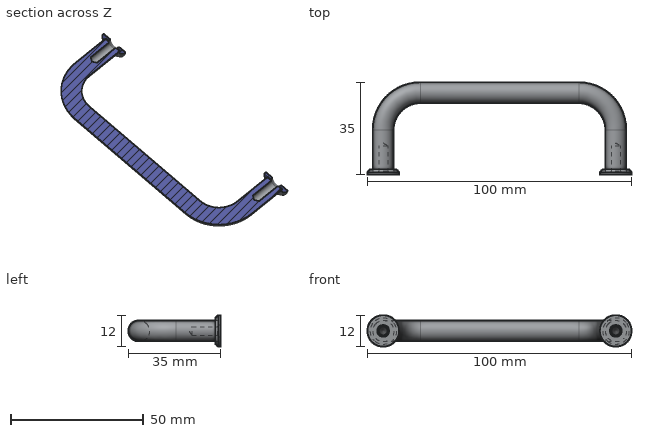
import cadquery as cq
import math

leg_spacing = 88.0
handle_height = 35.0
rod_diameter = 8.0
bend_radius = 14.0

washer_diameter = 12.0
washer_thickness = 2.0
washer_chamfer = 1.0
washer_hole_diameter = 4.5
washer_recess_depth = 1.0

screw_hole_diameter = 3.3
screw_hole_mouth_diameter = 4.1
screw_hole_depth = 10.0
drill_point_angle = 118.0

leg_x = leg_spacing / 2
grip_y = handle_height - rod_diameter / 2
leg_end_y = washer_thickness - washer_recess_depth
bend_start_y = grip_y - bend_radius
grip_end_x = leg_x - bend_radius
bend_offset = bend_radius * math.sin(math.radians(45))


def make_screw_hole(x):
    """Blind drilled hole with a 45 degree mouth chamfer and a conical bottom, along +Y."""
    radius = screw_hole_diameter / 2
    mouth_radius = screw_hole_mouth_diameter / 2
    point_length = radius / math.tan(math.radians(drill_point_angle / 2))
    half_profile = (
        cq.Workplane("XY")
        .moveTo(0, 0)
        .lineTo(mouth_radius, 0)
        .lineTo(radius, mouth_radius - radius)
        .lineTo(radius, screw_hole_depth)
        .lineTo(0, screw_hole_depth + point_length)
        .close()
    )
    return half_profile.revolve(360, (0, 0, 0), (0, 1, 0)).translate((x, leg_end_y, 0))


def make_handle():
    """Round rod bent into a U, with a screw hole in each leg end."""
    centreline = (
        cq.Workplane("XY")
        .moveTo(-leg_x, leg_end_y)
        .lineTo(-leg_x, bend_start_y)
        .threePointArc(
            (-grip_end_x - bend_offset, bend_start_y + bend_offset),
            (-grip_end_x, grip_y),
        )
        .lineTo(grip_end_x, grip_y)
        .threePointArc(
            (grip_end_x + bend_offset, bend_start_y + bend_offset),
            (leg_x, bend_start_y),
        )
        .lineTo(leg_x, leg_end_y)
    )
    section_plane = cq.Plane(origin=(-leg_x, leg_end_y, 0), xDir=(1, 0, 0), normal=(0, 1, 0))
    rod = cq.Workplane(section_plane).circle(rod_diameter / 2).sweep(centreline)
    for x in (-leg_x, leg_x):
        rod = rod.cut(make_screw_hole(x))
    return rod


def make_washer(x):
    """Chamfered ring under a leg, with a pocket on the grip side for the leg end."""
    base_plane = cq.Plane(origin=(x, 0, 0), xDir=(1, 0, 0), normal=(0, 1, 0))
    disc = cq.Workplane(base_plane).circle(washer_diameter / 2).extrude(washer_thickness)
    disc = disc.faces(">Y").chamfer(washer_chamfer)
    bore = cq.Workplane(base_plane).circle(washer_hole_diameter / 2).extrude(washer_thickness)
    recess = (
        cq.Workplane(base_plane)
        .workplane(offset=washer_thickness - washer_recess_depth)
        .circle(rod_diameter / 2)
        .extrude(washer_recess_depth)
    )
    return disc.cut(bore).cut(recess)


handle = make_handle()
washers = [make_washer(x) for x in (-leg_x, leg_x)]

result = cq.Compound.makeCompound([handle.val(), *[washer.val() for washer in washers]])